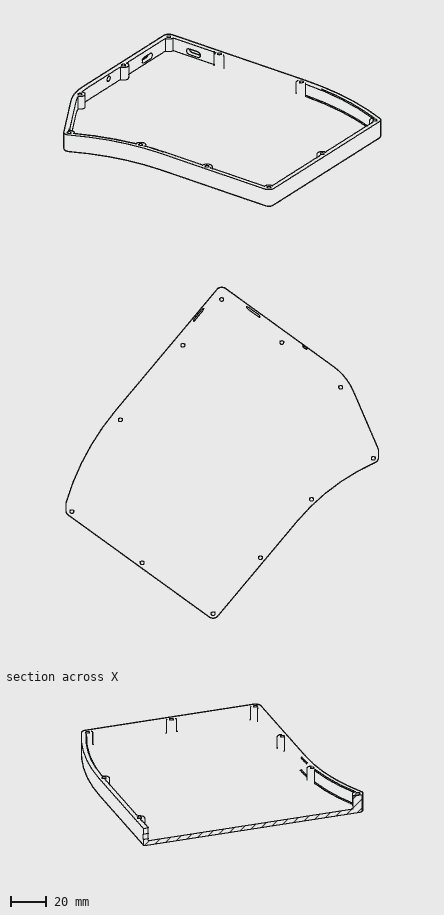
import cadquery as cq
import math

length = 159.47
height = 11.0
right_side_bottom = -119.4
right_side_top = -13.1
floor_thickness = 3.0
wall = 3.0
corner_radius = 3.5
bottom_round = 1.0
inner_round = 0.5
pocket_depth = height - floor_thickness

top_curve_start = 96.0
bottom_curve_start = 83.1
left_bend_start = -80.35
left_bend_radius = 36.0
left_bend_angle = math.radians(30.3)
slant_length = 40.7
slant_start = (
    left_bend_radius * (1 - math.cos(left_bend_angle)),
    left_bend_start - left_bend_radius * math.sin(left_bend_angle),
)
tip = (
    slant_start[0] + slant_length * math.sin(left_bend_angle),
    slant_start[1] - slant_length * math.cos(left_bend_angle),
)
sharp_corners = [(0, 0), (length, right_side_top), (length, right_side_bottom), tip]

boss_radius = 3.0
screw_hole_diameter = 2.2
corner_inset = 3.2
side_inset = 3.0
back_left_boss = (38.5, -side_inset)
tip_boss = (26.7, -129.6)
boss_centers = [
    (corner_inset, -corner_inset),
    back_left_boss,
    (95.7, -side_inset),
    (length - corner_inset, -15.5),
    (length - side_inset, -65.8),
    (length - corner_inset, right_side_bottom + corner_inset),
    (113.2, right_side_bottom + side_inset),
    (67.6, -117.4),
    tip_boss,
    (4.1, -88.7),
    (side_inset, -45.9),
]

round_end_back = (back_left_boss[0] - boss_radius - inner_round, 0)
round_end_tip = (tip_boss[0] - boss_radius, tip[1])

slot_length = 9.5
slot_height = 3.5
slot_z = 5.75
left_slot_y = -23.2
back_slot_x = 20.3
button_hole_diameter = 3.0
button_hole_y = -59.9
button_hole_z = 8.2
opening_depth = 2 * wall

slab_margin = 10.0
slab_thickness = 1.0


def outline():
    """Closed outer outline of the case, with sharp corners."""
    return (
        cq.Workplane("XY")
        .lineTo(top_curve_start, 0)
        .tangentArcPoint((length, right_side_top), relative=False)
        .lineTo(length, right_side_bottom)
        .lineTo(bottom_curve_start, right_side_bottom)
        .tangentArcPoint(tip, relative=False)
        .lineTo(*slant_start)
        .radiusArc((0, left_bend_start), left_bend_radius)
        .close()
    )


def outer_body():
    """Solid block of the case with rounded corners and a rounded bottom edge."""
    block = outline().extrude(height)
    for x, y in sharp_corners:
        corner_edge = cq.selectors.NearestToPointSelector((x, y, height / 2))
        block = block.edges(corner_edge).fillet(corner_radius)
    return block.faces("<Z").edges().fillet(bottom_round)


def plain_pocket():
    """Straight-walled pocket with the screw bosses left standing in it."""
    cavity = outline().offset2D(-wall).extrude(pocket_depth)
    bosses = cq.Workplane("XY").pushPoints(boss_centers).circle(boss_radius).extrude(pocket_depth)
    return cavity.cut(bosses).translate((0, 0, floor_thickness))


def rounded_boss(center):
    """Boss with a fillet around its foot and a rounded top edge."""
    return (
        cq.Workplane("XZ")
        .lineTo(boss_radius + inner_round, 0)
        .radiusArc((boss_radius, inner_round), inner_round)
        .lineTo(boss_radius, pocket_depth - inner_round)
        .radiusArc((boss_radius - inner_round, pocket_depth), -inner_round)
        .lineTo(0, pocket_depth)
        .close()
        .revolve()
        .translate(center)
    )


def rounded_pocket():
    """Pocket with rounds along its floor, its rim and its bosses.

    A wide slab above the rim gives the cavity an inner corner there, and filleting
    that corner makes the cutter that rounds the rim.
    """
    cavity = outline().offset2D(-wall).extrude(pocket_depth)
    slab = (
        cq.Workplane("XY", origin=(length / 2, tip[1] / 2, pocket_depth))
        .rect(length + 2 * slab_margin, -tip[1] + 2 * slab_margin)
        .extrude(slab_thickness)
    )
    rim_edges = cq.selectors.BoxSelector(
        (0, tip[1], pocket_depth - inner_round),
        (length, 0, pocket_depth + inner_round),
    )
    cutter = cavity.faces("<Z").edges().fillet(inner_round).union(slab)
    cutter = cutter.edges(rim_edges).fillet(inner_round)
    for center in boss_centers:
        cutter = cutter.cut(rounded_boss(center))
    return cutter.translate((0, 0, floor_thickness))


def plain_side():
    """Block over the left part of the case, where the pocket edges are sharp."""
    return (
        cq.Workplane("XY")
        .lineTo(*round_end_back)
        .lineTo(*round_end_tip)
        .lineTo(0, round_end_tip[1])
        .close()
        .extrude(height)
    )


def pocketed_body():
    """Case with its pocket, sharp-edged on the left and rounded elsewhere."""
    side = plain_side()
    sharp_part = plain_pocket().intersect(side)
    rounded_part = rounded_pocket().cut(side)
    return outer_body().cut(sharp_part).cut(rounded_part)


def screw_holes():
    """Through holes down the middle of every boss."""
    return cq.Workplane("XY").pushPoints(boss_centers).circle(screw_hole_diameter / 2).extrude(height)


def wall_slot(plane, position):
    """Round-ended slot cutter that starts at the outer wall face and runs inward."""
    return (
        cq.Workplane(plane)
        .center(position, slot_z)
        .slot2D(slot_length, slot_height)
        .extrude(opening_depth)
    )


def button_hole():
    """Round hole through the left wall."""
    return (
        cq.Workplane("YZ")
        .center(button_hole_y, button_hole_z)
        .circle(button_hole_diameter / 2)
        .extrude(opening_depth)
    )


result = (
    pocketed_body()
    .cut(screw_holes())
    .cut(wall_slot("YZ", left_slot_y))
    .cut(wall_slot("XZ", back_slot_x))
    .cut(button_hole())
)